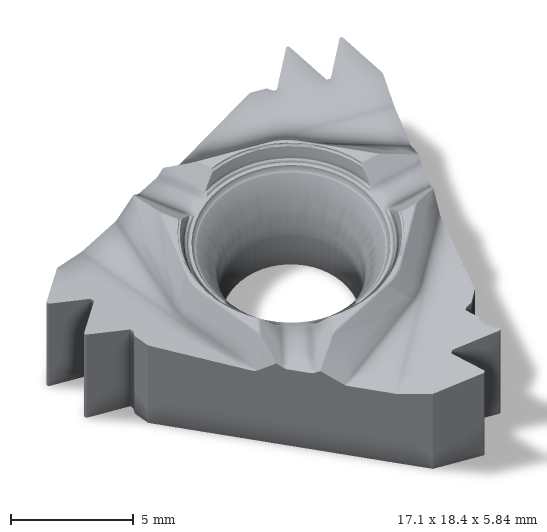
import cadquery as cq
import math


NOSES = 3
TURN = 360 / NOSES
FAR = 14.73

HEIGHT = 5.84
INRADIUS = 6.35

FLANK = math.tan(math.radians(60))
TIP_RADIUS = 0.1
TIP_ZONE = 9.67
FIRST_TOOTH_X = -5.2
FIRST_TIP_Y = -9.11
SECOND_TOOTH_X = -2.96
SECOND_TIP_Y = -9.32
ROOT_Y = -7.53
END_ROOT_Y = -7.65
END_ROOT_WIDTH = 0.15
RELIEF_RUN = 0.24
SHOULDER_Y = -7.82

FLOOR_Z = 4.62
WALL_RISE = HEIGHT - FLOOR_Z
BEND_Y = -5.7
CLIMB = math.radians(14.7)
BEND_RADIUS = 0.42
WALL_BASE_Y = -5.6
WALL_BASE_CORNER_X = -1.09
WALL_BASE_ANGLE = math.radians(21)
WALL_TOP_DISTANCE = 4.7
WALL_TOP_ANGLE = math.radians(30)
WALL_END_BASE_X = 3.17
WALL_END_TOP_X = 2.72
WALL_END_ANGLE = math.radians(7)
WALL_FILLET = 0.13
FOOT_LIMIT_Y = -6.63
WALL_CORNER_RADIUS = 2.95
WALL_TOP_RADIUS = 0.13
WALL_TOP_ZONE = 6.26

GROOVE_ANGLE = 195.0
GROOVE_Z = 5.08
GROOVE_HALF = 0.55
GROOVE_OFFSET = -0.07
GROOVE_SLOPE = math.radians(38)
GROOVE_FILLET = 0.31
GROOVE_EDGE = 0.05

HOLE_RADIUS = 5.7 / 2
BOWL_START_Z = 1.99
BOWL_END_RADIUS = 3.87
BOWL_END_Z = 4.82
LIP_RADIUS = 4.05
SHELF_RADIUS = 4.2
SHELF_Z = GROOVE_Z
RIM_FOOT_RADIUS = 4.35
RIM_FOOT_Z = 5.17
RIM_WALL_RADIUS = 4.53
RIM_WALL_Z = 5.73
RIM_RADIUS = 4.62
ARC_BULGE = 0.04


def nose_outline():
    """Corner points of one nose, from the long left side to the lower right side, teeth left sharp."""
    first_apex_y = FIRST_TIP_Y - TIP_RADIUS
    second_apex_y = SECOND_TIP_Y - TIP_RADIUS
    end_root_x = SECOND_TOOTH_X + (END_ROOT_Y - second_apex_y) / FLANK
    relief_x = end_root_x + END_ROOT_WIDTH
    return [
        (-INRADIUS, first_apex_y + (FIRST_TOOTH_X + INRADIUS) * FLANK),
        (FIRST_TOOTH_X, first_apex_y),
        (FIRST_TOOTH_X + (ROOT_Y - first_apex_y) / FLANK, ROOT_Y),
        (SECOND_TOOTH_X - (ROOT_Y - second_apex_y) / FLANK, ROOT_Y),
        (SECOND_TOOTH_X, second_apex_y),
        (end_root_x, END_ROOT_Y),
        (relief_x, END_ROOT_Y),
        (relief_x + RELIEF_RUN, SHOULDER_Y),
        (2 * INRADIUS + SHOULDER_Y * FLANK, SHOULDER_Y),
    ]


def axis_distance(shape):
    """Distance of a shape's middle from the Z axis."""
    middle = shape.Center()
    return math.hypot(middle.x, middle.y)


def turned(point, steps):
    """Turn an XY point about the Z axis by whole nose steps."""
    angle = math.radians(TURN * steps)
    x, y = point
    return (x * math.cos(angle) - y * math.sin(angle), x * math.sin(angle) + y * math.cos(angle))


def body():
    """Prism of the full outline with every tooth tip rounded."""
    points = [turned(p, step) for step in range(NOSES) for p in nose_outline()]
    prism = cq.Workplane("XY").polyline(points).close().extrude(HEIGHT)
    tips = prism.edges("|Z").filter(lambda edge: axis_distance(edge) > TIP_ZONE)
    return tips.fillet(TIP_RADIUS)


def wall_line(corner_x, y, angle, end_x):
    """Plan of the pocket cutter at one level: the bent wall edge closed by a box behind the teeth."""
    return [
        (-FAR, y + (corner_x + FAR) * math.tan(angle)),
        (corner_x, y),
        (end_x, y),
        (FAR, y - (FAR - end_x) * math.tan(WALL_END_ANGLE)),
        (FAR, -FAR),
        (-FAR, -FAR),
    ]


def pocket():
    """Cutter for one nose: leaning wall, flat floor and a floor that climbs to the teeth."""
    top_corner_x = -WALL_TOP_DISTANCE * math.tan(WALL_TOP_ANGLE / 2)
    base = wall_line(WALL_BASE_CORNER_X, WALL_BASE_Y, WALL_BASE_ANGLE, WALL_END_BASE_X)
    top = wall_line(top_corner_x, -WALL_TOP_DISTANCE, WALL_TOP_ANGLE, WALL_END_TOP_X)
    above_wall = (
        cq.Workplane("XY", origin=(0, 0, FLOOR_Z)).polyline(base).close()
        .workplane(offset=WALL_RISE).polyline(top).close()
        .loft(ruled=True)
    )
    middle_x = (WALL_BASE_CORNER_X + top_corner_x) / 2
    middle_z = (FLOOR_Z + HEIGHT) / 2
    middle_y = -(WALL_TOP_DISTANCE - WALL_BASE_Y) / 2
    corner = above_wall.edges(cq.selectors.NearestToPointSelector((middle_x, middle_y, middle_z)))
    above_wall = corner.fillet(WALL_CORNER_RADIUS)
    foot = above_wall.faces("<Z").edges().filter(lambda edge: edge.Center().y > FOOT_LIMIT_Y)
    above_wall = foot.fillet(WALL_FILLET)

    half = CLIMB / 2
    setback = BEND_RADIUS * math.tan(half)
    climb_start = (BEND_Y - setback * math.cos(CLIMB), FLOOR_Z + setback * math.sin(CLIMB))
    bend_middle = (
        BEND_Y + setback - BEND_RADIUS * math.sin(half),
        FLOOR_Z + BEND_RADIUS * (1 - math.cos(half)),
    )
    above_floor = (
        cq.Workplane("YZ")
        .moveTo(FAR, FLOOR_Z)
        .lineTo(BEND_Y + setback, FLOOR_Z)
        .threePointArc(bend_middle, climb_start)
        .lineTo(-FAR, FLOOR_Z + (BEND_Y + FAR) * math.tan(CLIMB))
        .lineTo(-FAR, 2 * HEIGHT)
        .lineTo(FAR, 2 * HEIGHT)
        .close()
        .extrude(FAR, both=True)
    )
    return above_wall.intersect(above_floor)


def groove():
    """Cutter for one radial groove with sloped sides, running outward along +X from the centre."""
    def side(z):
        return GROOVE_HALF + (z - GROOVE_Z) / math.tan(GROOVE_SLOPE)

    break_z = HEIGHT - GROOVE_EDGE / 2
    break_half = side(break_z)
    top_half = side(HEIGHT) + GROOVE_EDGE
    right_side = [(GROOVE_HALF, GROOVE_Z), (break_half, break_z), (top_half, HEIGHT)]
    left_side = [(-half, z) for half, z in reversed(right_side)]
    bar = (
        cq.Workplane("YZ", origin=(0, GROOVE_OFFSET, 0))
        .polyline(right_side + left_side).close().extrude(FAR)
    )
    return bar.edges("|X").edges("<Z").fillet(GROOVE_FILLET)


def hole():
    """Clamping hole: bore, bell-shaped bowl tangent to the bore, rounded lip, shelf and rim wall."""
    run = BOWL_END_RADIUS - HOLE_RADIUS
    rise = BOWL_END_Z - BOWL_START_Z
    bowl_radius = (run ** 2 + rise ** 2) / (2 * run)
    half_sweep = math.atan2(run, rise)
    bowl_middle = (
        HOLE_RADIUS + bowl_radius * (1 - math.cos(half_sweep)),
        BOWL_START_Z + bowl_radius * math.sin(half_sweep),
    )
    return (
        cq.Workplane("XZ")
        .moveTo(0, 0)
        .lineTo(HOLE_RADIUS, 0)
        .lineTo(HOLE_RADIUS, BOWL_START_Z)
        .threePointArc(bowl_middle, (BOWL_END_RADIUS, BOWL_END_Z))
        .sagittaArc((LIP_RADIUS, SHELF_Z), -ARC_BULGE)
        .lineTo(SHELF_RADIUS, SHELF_Z)
        .sagittaArc((RIM_FOOT_RADIUS, RIM_FOOT_Z), ARC_BULGE)
        .lineTo(RIM_WALL_RADIUS, RIM_WALL_Z)
        .sagittaArc((RIM_RADIUS, HEIGHT), -ARC_BULGE)
        .lineTo(0, HEIGHT)
        .close()
        .revolve(360, (0, 0, 0), (0, 1, 0))
    )


def around(solid, start=0.0):
    """Copies of a cutter at every nose."""
    return [solid.rotate((0, 0, 0), (0, 0, 1), start + TURN * step) for step in range(NOSES)]


result = body()
for cutter in around(pocket()):
    result = result.cut(cutter)
wall_tops = result.faces(">Z").edges().filter(lambda edge: axis_distance(edge) < WALL_TOP_ZONE)
result = wall_tops.fillet(WALL_TOP_RADIUS)
for cutter in around(groove(), GROOVE_ANGLE):
    result = result.cut(cutter)
result = result.cut(hole())